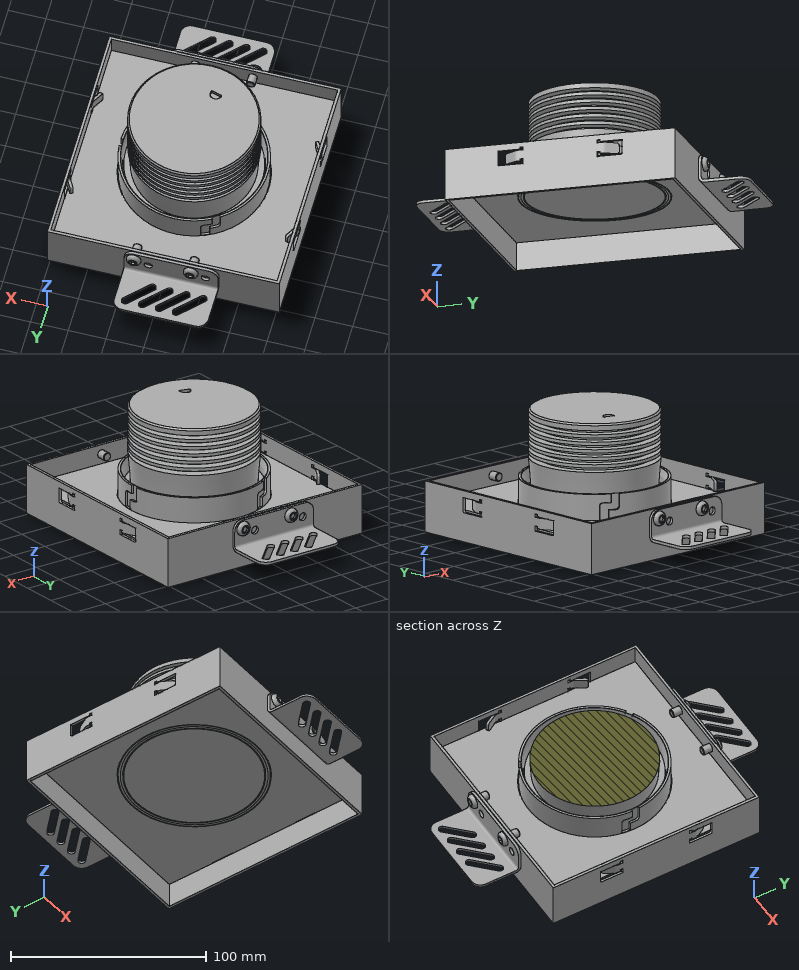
import cadquery as cq
import math

TRAY_SIDE = 123.0
TRAY_HEIGHT = 27.1
SHEET = 1.5
FLOOR_TOP = 16.5
FLOOR_BOTTOM = FLOOR_TOP - SHEET
WALL_FACE = TRAY_SIDE / 2
WALL_INNER = WALL_FACE - SHEET

WINDOW_ROOT = 19.9
WINDOW_END = 33.3
WINDOW_BOTTOM = 15.5
WINDOW_TOP = 23.4
WINDOW_CORNER = 0.9
RELIEF_WIDTH = 1.4
RELIEF_RISE = 1.0
TAB_BOTTOM = 17.0
TAB_TOP = 22.9
TAB_BEND_START = 22.9
TAB_BEND_INNER = 1.5
TAB_BEND_OUTER = TAB_BEND_INNER + SHEET
TAB_LEAN = 30
TAB_STRAIGHT = 7.0
TAB_CORNER = 1.4

COLLAR_RADIUS = 39.0
SLEEVE_RADIUS = 37.8
SLEEVE_BORE = 36.6
SLEEVE_RIM = 0.2
SLEEVE_TAPER_BOTTOM = 26.4
COLLAR_TOP = 30.3
FLOOR_HOLE_RADIUS = 39.5
SLOT_COUNT = 3
SLOT_ANGLE = -122.6
SLOT_HALF_SPAN = 5.1
SLOT_ENTRY_EDGE = 0.9
SLOT_EXIT_EDGE = -0.4
SLOT_PASSAGE_BOTTOM = 21.8
SLOT_PASSAGE_TOP = 25.7
SLOT_CORNER = 1.8

LAMP_TOP = 66.2
FIN_RADIUS = 34.1
CORE_RADIUS = 29.2
LAMP_CHAMFER = 0.9
CAP_BOTTOM = 62.7
FIN_COUNT = 5
FIN_THICKNESS = 1.8
FIRST_FIN_TOP = 60.5
LAST_FIN_TOP = 44.7
FIN_PITCH = (FIRST_FIN_TOP - LAST_FIN_TOP) / (FIN_COUNT - 1)
BASE_TOP = 40.7
BASE_RADIUS = 32.7
BASE_WAIST = 0.2
FLANGE_RADIUS = 36.0
FLANGE_TOP = 23.0
CABLE_HOLE = (-6.9, -17.5)
CABLE_HOLE_RADIUS = 3.0
CABLE_HOLE_FLAT = 0.7
CABLE_HOLE_FLAT_ANGLE = -16
CABLE_HOLE_DEPTH = 1.8

BRACKET_WIDTH = 50.0
BRACKET_SHIFT = 4.5
BRACKET_END = 88.0
BRACKET_TOP = 26.5
BRACKET_BOTTOM = 10.4
BEND_INNER = 1.5
BEND_OUTER = BEND_INNER + SHEET
BRACKET_CORNER = 5.5
BRACKET_FACE = WALL_FACE + SHEET
SPARE_HOLE_SHIFT = 7.5
SPARE_HOLE_HEIGHT = 19.2
SCREW_HOLE_RADIUS = 2.3
SPARE_HOLE_RADIUS = 2.1
SLANT_COUNT = 4
SLANT_PITCH = 9.0
SLANT_LENGTH = 19.9
SLANT_WIDTH = 3.9
SLANT_DISTANCE = 76.5
SLANT_ANGLE = 45

SCREW_X = 15.1
SCREW_Z = 22.0
HEAD_RADIUS = 3.9
HEAD_HEIGHT = 2.3
HEAD_BULGE = 0.5
HEAD_FLAT_RADIUS = 2.3
SOCKET_SIDES = 6
SOCKET_CORNERS = 3.7
SOCKET_DEPTH = 1.2
SCREW_TIP = 54.7
TIP_CHAMFER = 0.4


def block(x_range, y_range, z_range):
    """A box spanning the given ranges."""
    spans = (x_range, y_range, z_range)
    sizes = [high - low for low, high in spans]
    return cq.Workplane("XY").box(*sizes, centered=False).translate([low for low, _ in spans])


def cylinder(radius, bottom, top):
    """An upright cylinder about the Z axis."""
    return cq.Workplane("XY").workplane(offset=bottom).circle(radius).extrude(top - bottom)


def half_turn(shape):
    return shape.rotate((0, 0, 0), (0, 0, 1), 180)


def along_y(x, z, radius, start, end):
    """A round bar along -Y from y = -start to y = -end."""
    return cq.Workplane("XZ", origin=(x, -start, z)).circle(radius).extrude(end - start)


def screw_holes():
    """Shank clearances of both screws on the -Y side."""
    left = along_y(-SCREW_X, SCREW_Z, SCREW_HOLE_RADIUS, SCREW_TIP, BRACKET_FACE)
    right = along_y(SCREW_X, SCREW_Z, SCREW_HOLE_RADIUS, SCREW_TIP, BRACKET_FACE)
    return left.union(right)


def tab_window():
    """Opening in the -X wall, on the +Y side, around a spring tab."""
    window = block((-WALL_FACE, -WALL_INNER), (WINDOW_ROOT, WINDOW_END), (WINDOW_BOTTOM, WINDOW_TOP))
    return window.faces(">Y").edges("<Z").fillet(WINDOW_CORNER)


def tab_reliefs():
    """Notches above and below the root of a spring tab."""
    wall = (-WALL_FACE, -WALL_INNER)
    root = (WINDOW_ROOT, WINDOW_ROOT + RELIEF_WIDTH)
    upper = block(wall, root, (TAB_TOP, WINDOW_TOP + RELIEF_RISE))
    lower = block(wall, root, (WINDOW_BOTTOM, TAB_BOTTOM + RELIEF_RISE))
    return upper.union(lower)


def spring_tab():
    """Tab that leaves the -X wall through a bend and leans into the tray."""
    centre_x = -WALL_INNER + TAB_BEND_INNER

    def on_bend(radius, degrees, beyond=0):
        """Point at an angle round the bend, or straight beyond it along the tab."""
        turn = math.radians(degrees)
        return (
            centre_x - radius * math.cos(turn) + beyond * math.sin(turn),
            TAB_BEND_START + radius * math.sin(turn) + beyond * math.cos(turn),
        )

    tab = (
        cq.Workplane("XY", origin=(0, 0, TAB_BOTTOM))
        .moveTo(-WALL_FACE, WINDOW_ROOT)
        .lineTo(-WALL_FACE, TAB_BEND_START)
        .threePointArc(on_bend(TAB_BEND_OUTER, TAB_LEAN / 2), on_bend(TAB_BEND_OUTER, TAB_LEAN))
        .lineTo(*on_bend(TAB_BEND_OUTER, TAB_LEAN, TAB_STRAIGHT))
        .lineTo(*on_bend(TAB_BEND_INNER, TAB_LEAN, TAB_STRAIGHT))
        .lineTo(*on_bend(TAB_BEND_INNER, TAB_LEAN))
        .threePointArc(on_bend(TAB_BEND_INNER, TAB_LEAN / 2), (-WALL_INNER, TAB_BEND_START))
        .lineTo(-WALL_INNER, WINDOW_ROOT)
        .close()
        .extrude(TAB_TOP - TAB_BOTTOM)
    )
    lean = math.radians(TAB_LEAN)
    tab_direction = cq.Vector(math.sin(lean), math.cos(lean), 0)
    tip = tab.faces(cq.selectors.DirectionMinMaxSelector(tab_direction))
    return tip.edges("not |Z").fillet(TAB_CORNER)


def in_each_window(shape):
    """Copies of a shape made for the -X, +Y window, placed at all four windows."""
    pair = shape.union(shape.mirror("XZ"))
    return pair.union(pair.mirror("YZ"))


def make_tray():
    tray = cq.Workplane("XY").rect(TRAY_SIDE, TRAY_SIDE).extrude(TRAY_HEIGHT)
    inside = (-WALL_INNER, WALL_INNER)
    tray = tray.cut(block(inside, inside, (0, FLOOR_BOTTOM)))
    tray = tray.cut(block(inside, inside, (FLOOR_TOP, TRAY_HEIGHT)))
    tray = tray.cut(cylinder(FLOOR_HOLE_RADIUS, FLOOR_BOTTOM, FLOOR_TOP))
    tray = tray.cut(screw_holes()).cut(half_turn(screw_holes()))
    tray = tray.cut(in_each_window(tab_window()))
    tray = tray.union(in_each_window(spring_tab()))
    return tray.cut(in_each_window(tab_reliefs()))


def bayonet_slot(angle):
    """Stepped slot that enters at the rim, shifts sideways and runs down to the floor."""
    turn = math.radians(angle)
    plane = cq.Plane(
        origin=(0, 0, 0),
        xDir=(-math.sin(turn), math.cos(turn), 0),
        normal=(math.cos(turn), math.sin(turn), 0),
    )
    corner_mid = SLOT_CORNER * (1 - math.sqrt(0.5))
    profile = (
        cq.Workplane(plane)
        .moveTo(SLOT_ENTRY_EDGE, COLLAR_TOP)
        .lineTo(SLOT_ENTRY_EDGE, SLOT_PASSAGE_TOP)
        .lineTo(-SLOT_HALF_SPAN + SLOT_CORNER, SLOT_PASSAGE_TOP)
        .threePointArc(
            (-SLOT_HALF_SPAN + corner_mid, SLOT_PASSAGE_TOP - corner_mid),
            (-SLOT_HALF_SPAN, SLOT_PASSAGE_TOP - SLOT_CORNER),
        )
        .lineTo(-SLOT_HALF_SPAN, FLOOR_TOP)
        .lineTo(SLOT_EXIT_EDGE, FLOOR_TOP)
        .lineTo(SLOT_EXIT_EDGE, SLOT_PASSAGE_BOTTOM)
        .lineTo(SLOT_HALF_SPAN - SLOT_CORNER, SLOT_PASSAGE_BOTTOM)
        .threePointArc(
            (SLOT_HALF_SPAN - corner_mid, SLOT_PASSAGE_BOTTOM + corner_mid),
            (SLOT_HALF_SPAN, SLOT_PASSAGE_BOTTOM + SLOT_CORNER),
        )
        .lineTo(SLOT_HALF_SPAN, COLLAR_TOP)
        .close()
    )
    return profile.extrude(COLLAR_RADIUS)


def make_collar():
    collar = cylinder(COLLAR_RADIUS, FLOOR_BOTTOM, COLLAR_TOP)
    collar = collar.cut(cylinder(SLEEVE_RADIUS, FLOOR_BOTTOM, COLLAR_TOP))
    for index in range(SLOT_COUNT):
        collar = collar.cut(bayonet_slot(SLOT_ANGLE + index * 360 / SLOT_COUNT))
    return collar


def make_sleeve():
    """Sleeve inside the collar, its bore tapered at the mouth."""
    outline = [
        (SLEEVE_RADIUS, FLOOR_BOTTOM),
        (SLEEVE_RADIUS, COLLAR_TOP),
        (SLEEVE_RADIUS - SLEEVE_RIM, COLLAR_TOP),
        (SLEEVE_BORE, SLEEVE_TAPER_BOTTOM),
        (SLEEVE_BORE, FLOOR_BOTTOM),
    ]
    return cq.Workplane("XZ").polyline(outline).close().revolve(360, (0, 0, 0), (0, 1, 0))


def cable_hole():
    """D-shaped blind hole in the lamp's top face."""
    hole = cq.Workplane("XY").circle(CABLE_HOLE_RADIUS).extrude(CABLE_HOLE_DEPTH)
    beyond = 2 * CABLE_HOLE_RADIUS
    flat_side = block((-beyond, beyond), (-beyond, -CABLE_HOLE_FLAT), (0, CABLE_HOLE_DEPTH))
    hole = hole.cut(flat_side).rotate((0, 0, 0), (0, 0, 1), CABLE_HOLE_FLAT_ANGLE)
    return hole.translate((*CABLE_HOLE, LAMP_TOP - CABLE_HOLE_DEPTH))


def make_lamp():
    waist = ((BASE_RADIUS + FIN_RADIUS) / 2 - BASE_WAIST, (FLANGE_TOP + BASE_TOP) / 2)
    base = (
        cq.Workplane("XZ")
        .moveTo(0, FLOOR_BOTTOM)
        .lineTo(FLANGE_RADIUS, FLOOR_BOTTOM)
        .lineTo(FLANGE_RADIUS, FLANGE_TOP)
        .lineTo(BASE_RADIUS, FLANGE_TOP)
        .threePointArc(waist, (FIN_RADIUS, BASE_TOP))
        .lineTo(0, BASE_TOP)
        .close()
        .revolve(360, (0, 0, 0), (0, 1, 0))
    )
    lamp = base.union(cylinder(CORE_RADIUS, BASE_TOP, CAP_BOTTOM))
    for index in range(FIN_COUNT):
        fin_top = FIRST_FIN_TOP - index * FIN_PITCH
        lamp = lamp.union(cylinder(FIN_RADIUS, fin_top - FIN_THICKNESS, fin_top))
    cap = cylinder(FIN_RADIUS, CAP_BOTTOM, LAMP_TOP).faces(">Z").chamfer(LAMP_CHAMFER)
    return lamp.union(cap).cut(cable_hole())


def bracket_sheet():
    """Bent L-shaped sheet on the -Y side, with rounded outer corners."""
    bend_y = -WALL_FACE - BEND_OUTER
    bend_z = BRACKET_BOTTOM + BEND_OUTER
    diagonal = math.sqrt(0.5)
    sheet = (
        cq.Workplane("YZ", origin=(BRACKET_SHIFT - BRACKET_WIDTH / 2, 0, 0))
        .moveTo(-WALL_FACE, BRACKET_TOP)
        .lineTo(-WALL_FACE, bend_z)
        .threePointArc(
            (bend_y + BEND_OUTER * diagonal, bend_z - BEND_OUTER * diagonal),
            (bend_y, BRACKET_BOTTOM),
        )
        .lineTo(-BRACKET_END, BRACKET_BOTTOM)
        .lineTo(-BRACKET_END, BRACKET_BOTTOM + SHEET)
        .lineTo(bend_y, BRACKET_BOTTOM + SHEET)
        .threePointArc(
            (bend_y + BEND_INNER * diagonal, bend_z - BEND_INNER * diagonal),
            (-BRACKET_FACE, bend_z),
        )
        .lineTo(-BRACKET_FACE, BRACKET_TOP)
        .close()
        .extrude(BRACKET_WIDTH)
    )
    sheet = sheet.faces("<Y").edges("|Z").fillet(BRACKET_CORNER)
    return sheet.faces(">Z").edges("|Y").fillet(BRACKET_CORNER)


def make_bracket():
    """Bracket on the -Y side."""
    bracket = bracket_sheet().cut(screw_holes())
    for screw_x in (-SCREW_X, SCREW_X):
        spare_x = screw_x + SPARE_HOLE_SHIFT
        bracket = bracket.cut(along_y(spare_x, SPARE_HOLE_HEIGHT, SPARE_HOLE_RADIUS, WALL_FACE, BRACKET_FACE))
    slants = (
        cq.Workplane("XY", origin=(BRACKET_SHIFT, -SLANT_DISTANCE, BRACKET_BOTTOM))
        .rarray(SLANT_PITCH, 1.8, SLANT_COUNT, 1)
        .slot2D(SLANT_LENGTH, SLANT_WIDTH, SLANT_ANGLE)
        .extrude(SHEET)
    )
    return bracket.cut(slants)


def make_screw(x):
    """Button-head socket screw on the -Y side, its axis along Y."""
    head_top = BRACKET_FACE + HEAD_HEIGHT
    dome_mid = (
        (HEAD_RADIUS + HEAD_FLAT_RADIUS) / 2 + HEAD_BULGE * math.sqrt(0.5),
        -BRACKET_FACE - HEAD_HEIGHT / 2 - HEAD_BULGE * math.sqrt(0.5),
    )
    screw = (
        cq.Workplane("XY")
        .moveTo(0, -SCREW_TIP)
        .lineTo(SCREW_HOLE_RADIUS - TIP_CHAMFER, -SCREW_TIP)
        .lineTo(SCREW_HOLE_RADIUS, -SCREW_TIP - TIP_CHAMFER)
        .lineTo(SCREW_HOLE_RADIUS, -BRACKET_FACE)
        .lineTo(HEAD_RADIUS, -BRACKET_FACE)
        .threePointArc(dome_mid, (HEAD_FLAT_RADIUS, -head_top))
        .lineTo(0, -head_top)
        .close()
        .revolve(360, (0, 0, 0), (0, 1, 0))
    )
    socket_floor = SOCKET_DEPTH - head_top
    socket = (
        cq.Workplane("XZ", origin=(0, socket_floor, 0))
        .polygon(SOCKET_SIDES, SOCKET_CORNERS)
        .extrude(SOCKET_DEPTH)
    )
    return screw.cut(socket).translate((x, 0, SCREW_Z))


tray = make_tray()
collar = make_collar()
sleeve = make_sleeve()
lamp = make_lamp()
brackets = []
screws = []
front_screws = [make_screw(x) for x in (-SCREW_X, SCREW_X)]
for placed in (lambda body: body, half_turn):
    brackets.append(placed(make_bracket()))
    screws.extend(placed(screw) for screw in front_screws)

result = cq.Compound.makeCompound(
    [body.solids().val() for body in (tray, collar, sleeve, lamp, *brackets, *screws)]
)